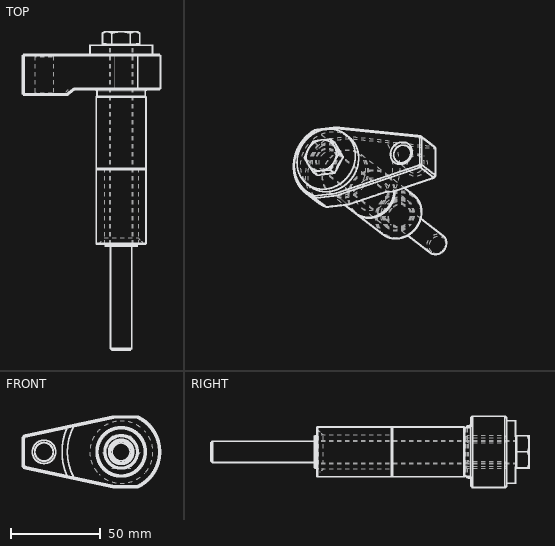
import cadquery as cq
import math


BOLT_D = 12.0
BOLT_LENGTH = 170.0
BOLT_TIP_CHAMFER = 1.0
HEAD_HEIGHT = 7.5
HEAD_ACROSS_FLATS = 18.0
HEAD_COLLAR_D = 17.0
HEAD_COLLAR_HEIGHT = 0.5
HEAD_CROWN_SLOPE = math.radians(30)

WASHER_D = 35.0
WASHER_THICKNESS = 5.0
WASHER_HOLE_D = 13.0

HOOK_THICKNESS = 20.0
HOOK_NOSE_EXTRA = 3.0
HOOK_NOSE_THICKNESS = HOOK_THICKNESS + HOOK_NOSE_EXTRA
HOOK_REACH = 55.0
HOOK_ROUND_R = 22.0
HOOK_HALF_HEIGHT = 20.0
HOOK_TIP_HALF_HEIGHT = 9.0
HOOK_TAPER_START_X = -3.8
HOOK_CHAMFER = 1.0
NOSE_STEP_R = 30.0
NOSE_HOLE_X = -43.0
NOSE_HOLE_D = 10.2
NOSE_COUNTERSINK_D = 13.0

NECK_D = 27.0
NECK_LENGTH = 3.5
NECK_END = HOOK_THICKNESS + NECK_LENGTH
NECK_FILLET = 0.5
SHANK_D = 28.0
SHANK_LENGTH = 40.5
SHANK_END = NECK_END + SHANK_LENGTH
SHANK_CHAMFER = 0.5
TUBE_D = 19.0
TUBE_PROTRUSION = 1.2
HOOK_BORE_D = 13.0
BORE_CHAMFER = 0.5
TUBE_RIM_CHAMFER = 0.3
TUBE_TIP_D = 18.0
TUBE_TIP_LENGTH = 2.0

SLEEVE_LENGTH = 42.0
SLEEVE_END = SHANK_END + SLEEVE_LENGTH
SLEEVE_COUNTERSINK_D = 26.0
TUBE_END = SLEEVE_END + TUBE_PROTRUSION


def rod(diameter, start, end):
    """Cylinder on the bolt axis, spanning distances start to end along -Y."""
    return cq.Workplane("XZ", origin=(0, -start, 0)).circle(diameter / 2).extrude(end - start)


def cone(axis_x, start, start_r, end, end_r):
    """Solid cone frustum along -Y, centred on X = axis_x and Z = 0."""
    profile = [(axis_x, -start), (axis_x + start_r, -start), (axis_x + end_r, -end), (axis_x, -end)]
    return cq.Workplane("XY").polyline(profile).close().revolve(360, (axis_x, 0, 0), (axis_x, 1, 0))


def make_bolt():
    head_base = -WASHER_THICKNESS
    collar_top = head_base - HEAD_COLLAR_HEIGHT
    head_top = head_base - HEAD_HEIGHT
    corner_r = HEAD_ACROSS_FLATS / math.sqrt(3)
    flat_r = HEAD_ACROSS_FLATS / 2

    hexagon = (
        cq.Workplane("XZ", origin=(0, -head_top, 0))
        .polygon(6, 2 * corner_r)
        .extrude(collar_top - head_top)
    )
    crown_r = flat_r + (collar_top - head_top) / math.tan(HEAD_CROWN_SLOPE)
    head = hexagon.intersect(cone(0, head_top, flat_r, collar_top, crown_r))
    collar = rod(HEAD_COLLAR_D, collar_top, head_base)
    stem = rod(BOLT_D, head_base, head_base + BOLT_LENGTH).faces("<Y").chamfer(BOLT_TIP_CHAMFER)
    return head.union(collar).union(stem)


def make_washer():
    return rod(WASHER_D, -WASHER_THICKNESS, 0).cut(rod(WASHER_HOLE_D, -WASHER_THICKNESS, 0))


def make_hook_plate():
    round_start_x = math.sqrt(HOOK_ROUND_R**2 - HOOK_HALF_HEIGHT**2)
    plate = (
        cq.Workplane("XZ")
        .moveTo(-HOOK_REACH, -HOOK_TIP_HALF_HEIGHT)
        .lineTo(HOOK_TAPER_START_X, -HOOK_HALF_HEIGHT)
        .lineTo(round_start_x, -HOOK_HALF_HEIGHT)
        .threePointArc((HOOK_ROUND_R, 0), (round_start_x, HOOK_HALF_HEIGHT))
        .lineTo(HOOK_TAPER_START_X, HOOK_HALF_HEIGHT)
        .lineTo(-HOOK_REACH, HOOK_TIP_HALF_HEIGHT)
        .close()
        .extrude(HOOK_NOSE_THICKNESS)
        .edges("|Y and <X")
        .chamfer(HOOK_CHAMFER)
    )
    nose_step = cone(0, HOOK_THICKNESS, NOSE_STEP_R, HOOK_NOSE_THICKNESS, NOSE_STEP_R + HOOK_NOSE_EXTRA)
    plate = plate.cut(nose_step)

    front_rim = (
        plate.faces("<Y")
        .edges("not %CIRCLE")
        .add(plate.edges("%HYPERBOLA"))
        .add(plate.faces("%PLANE and |Y").faces(">Y[1]").edges("not (%CIRCLE and <X)"))
    )
    plate = plate.newObject(front_rim.vals()).chamfer(HOOK_CHAMFER)
    return plate.faces(">Y").chamfer(HOOK_CHAMFER)


def make_tube():
    """Solid tube blank, stepped down just behind its tip."""
    tip_start = TUBE_END - TUBE_TIP_LENGTH
    tip = rod(TUBE_TIP_D, tip_start, TUBE_END).faces("<Y").chamfer(TUBE_RIM_CHAMFER)
    return rod(TUBE_D, SHANK_END, tip_start).union(tip)


def make_hook():
    hook = make_hook_plate()
    hook = hook.union(rod(NECK_D, HOOK_THICKNESS, NECK_END))
    neck_root = [
        edge
        for edge in hook.edges("%CIRCLE").vals()
        if math.isclose(edge.radius(), NECK_D / 2) and math.isclose(edge.Center().y, -HOOK_THICKNESS)
    ]
    hook = hook.newObject(neck_root).fillet(NECK_FILLET)
    hook = hook.union(rod(SHANK_D, NECK_END, SHANK_END).faces("<Y or >Y").chamfer(SHANK_CHAMFER))
    hook = hook.union(make_tube())
    hook = hook.cut(rod(HOOK_BORE_D, 0, TUBE_END))
    bore_r = HOOK_BORE_D / 2
    hook = hook.cut(cone(0, TUBE_END - BORE_CHAMFER, bore_r, TUBE_END, bore_r + BORE_CHAMFER))

    hole_r = NOSE_HOLE_D / 2
    mouth_r = NOSE_COUNTERSINK_D / 2
    depth = mouth_r - hole_r
    hook = hook.cut(rod(NOSE_HOLE_D, 0, HOOK_NOSE_THICKNESS).translate((NOSE_HOLE_X, 0, 0)))
    hook = hook.cut(cone(NOSE_HOLE_X, 0, mouth_r, depth, hole_r))
    hook = hook.cut(cone(NOSE_HOLE_X, HOOK_NOSE_THICKNESS - depth, hole_r, HOOK_NOSE_THICKNESS, mouth_r))
    return hook


def make_sleeve():
    sleeve = rod(SHANK_D, SHANK_END, SLEEVE_END).faces("<Y or >Y").chamfer(SHANK_CHAMFER)
    sleeve = sleeve.cut(rod(TUBE_D, SHANK_END, SLEEVE_END))
    tube_r = TUBE_D / 2
    mouth_r = SLEEVE_COUNTERSINK_D / 2
    return sleeve.cut(cone(0, SLEEVE_END - (mouth_r - tube_r), tube_r, SLEEVE_END, mouth_r))


bolt = make_bolt()
washer = make_washer()
hook = make_hook()
sleeve = make_sleeve()

result = cq.Compound.makeCompound([bolt.val(), washer.val(), hook.val(), sleeve.val()])